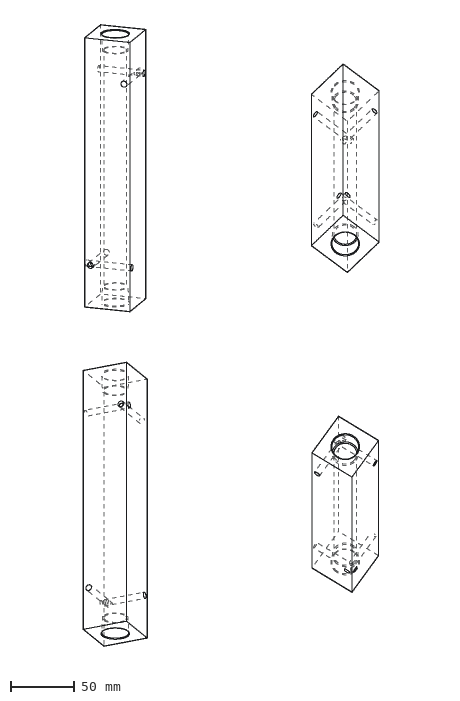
import cadquery as cq

length = 222.2
width = 38.0

bore_diameter = 18.0
socket_top_diameter = 21.1
socket_bottom_diameter = 20.5
socket_depth = 13.5
mouth_diameter = 22.5
mouth_chamfer = (mouth_diameter - socket_top_diameter) / 2

cross_hole_diameter = 5.0
cross_hole_edge_distance = 5.0
cross_hole_end_distance = 35.0
cross_hole_offset = width / 2 - cross_hole_edge_distance
cross_hole_height = length / 2 - cross_hole_end_distance


def make_bore():
    """Bore with a tapered socket and a chamfered mouth at each end."""
    half_length = length / 2
    step_height = half_length - socket_depth
    chamfer_start = half_length - mouth_chamfer
    upper_half = (
        cq.Workplane("XZ")
        .lineTo(bore_diameter / 2, 0)
        .lineTo(bore_diameter / 2, step_height)
        .lineTo(socket_bottom_diameter / 2, step_height)
        .lineTo(socket_top_diameter / 2, chamfer_start)
        .lineTo(mouth_diameter / 2, half_length)
        .lineTo(0, half_length)
        .close()
        .revolve(360, (0, 0, 0), (0, 1, 0))
    )
    return upper_half.union(upper_half.mirror("XY"))


def make_cross_holes(plane):
    """Two holes right through the bar, normal to the given side plane."""
    centers = [
        (cross_hole_offset, cross_hole_height),
        (-cross_hole_offset, -cross_hole_height),
    ]
    return (
        cq.Workplane(plane)
        .pushPoints(centers)
        .circle(cross_hole_diameter / 2)
        .extrude(width, both=True)
    )


result = cq.Workplane("XY").box(width, width, length).cut(make_bore())
for side_plane in ("XZ", "YZ"):
    result = result.cut(make_cross_holes(side_plane))